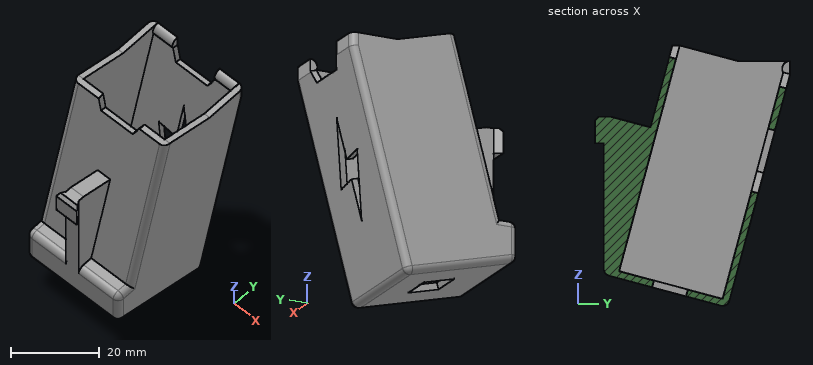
import cadquery as cq
import math

width = 28.1
depth = 27.35
front_height = 53.85
wall = 1.65
lean = 15
rim_z = 55.55
back_y = 14.05
foot_y = -27.95
foot_top_z = 16.95
bead_radius = 1.75

notch_depth = 2.7
notch_flare_height = 3.3
notch_floor_width = 9.7
notch_top_width = 12.85
slot_size = 7.85

rib_width = 3.9
rib_top_z = 43.05
rib_flat = 1.65
hook_reach = 1.95
hook_width = 6.35
hook_height = 6.05
hook_chamfer = 0.9

bolt_center_height = 29.05
bolt_half_height = 12.2
bolt_half_width = 5.5
bolt_tip_offset = 3.05
bolt_notch_offset = 2.35

overcut = 5.9
sin_lean = math.sin(math.radians(lean))
cos_lean = math.cos(math.radians(lean))
tan_lean = sin_lean / cos_lean
front_rim_flat = wall / cos_lean
bead_z = rim_z - bead_radius


def tilted(forward, height):
    """Return (y, z) of a place in the leaning frame of the pocket.

    The origin is the sharp rear bottom corner.
    """
    return (height * sin_lean - forward * cos_lean, height * cos_lean + forward * sin_lean)


def extrude_yz(points, size):
    """Extrude a YZ outline symmetrically about X = 0."""
    return cq.Workplane("YZ").polyline(points).close().extrude(size / 2, both=True)


def tilted_plane(forward, height, normal):
    """Return a plane with X across the part and its normal given as (y, z)."""
    y, z = tilted(forward, height)
    return cq.Plane(origin=(0, y, z), xDir=(1, 0, 0), normal=(0, *normal))


back_plane = tilted_plane(-overcut, 0, (-cos_lean, sin_lean))
floor_plane = tilted_plane(0, 0, (sin_lean, cos_lean))


def make_shell():
    """Leaning body with its foot, rounded outside and open at the top."""
    front_top = tilted(depth, front_height)
    foot_inner_y = front_top[0] - (front_top[1] - foot_top_z) * tan_lean
    back_bend_z = back_y / tan_lean
    rim_corner = (front_top[0] + front_rim_flat, front_top[1])
    bend_y = rim_corner[0] + (front_top[1] - rim_z) / tan_lean
    outline = [
        (0, 0),
        (foot_y, -foot_y * tan_lean),
        (foot_y, foot_top_z),
        (foot_inner_y, foot_top_z),
        front_top,
        rim_corner,
        (bend_y, rim_z),
        (back_y, rim_z),
        (back_y, back_bend_z),
    ]
    body = extrude_yz(outline, width)

    sharp_across = [front_top, rim_corner, (bend_y, rim_z), (back_y, rim_z), (back_y, back_bend_z),
                    (foot_inner_y, foot_top_z)]
    rim_centers = [(front_top[0] + front_rim_flat / 2, front_top[1]),
                   ((rim_corner[0] + bend_y) / 2, (front_top[1] + rim_z) / 2),
                   ((back_y + bend_y) / 2, rim_z)]
    tolerance = 0.005

    def is_rounded(edge):
        center = edge.Center()
        return all(math.hypot(center.y - y, center.z - z) > tolerance
                   for y, z in sharp_across + rim_centers)

    rounded_edges = [edge for edge in body.edges().vals() if is_rounded(edge)]
    return body.newObject(rounded_edges).fillet(wall)


def make_cavity():
    """Straight leaning pocket, open at the top."""
    top = front_height + 2 * overcut
    corners = [
        tilted(wall, wall),
        tilted(depth - wall, wall),
        tilted(depth - wall, top),
        tilted(wall, top),
    ]
    return extrude_yz(corners, width - 2 * wall)


def make_bead_clearance():
    """Wall material above the round of the bead, between the side walls."""
    inner_y = back_y - bead_radius
    middle = bead_radius * math.sqrt(0.5)
    return (
        cq.Workplane("YZ")
        .moveTo(back_y, rim_z)
        .threePointArc((back_y - middle, bead_z + middle), (inner_y, bead_z))
        .lineTo(inner_y, rim_z)
        .close()
        .extrude(width / 2 - wall, both=True)
    )


def make_bead():
    """Rounded lip along the inside of the back rim, curling back into the wall below."""
    middle = bead_radius * math.sqrt(0.5)
    return (
        cq.Workplane("YZ")
        .moveTo(back_y, rim_z)
        .threePointArc((back_y - bead_radius, bead_z), (back_y - middle, bead_z - middle))
        .lineTo(back_y, bead_z)
        .close()
        .extrude(width / 2 - wall, both=True)
    )


def make_notch():
    """Flared notch through both the front and back rims."""
    floor_height = front_height - notch_depth
    flare_top = floor_height + notch_flare_height
    top = front_height + overcut
    half_floor = notch_floor_width / 2
    half_top = notch_top_width / 2
    outline = [
        (-half_floor, floor_height),
        (half_floor, floor_height),
        (half_top, flare_top),
        (half_top, top),
        (-half_top, top),
        (-half_top, flare_top),
    ]
    return cq.Workplane(back_plane).polyline(outline).close().extrude(depth + 2 * overcut)


def make_slot():
    """Square opening in the middle of the floor."""
    return (
        cq.Workplane(floor_plane)
        .center(0, -depth / 2)
        .rect(slot_size, slot_size)
        .extrude(2 * wall)
    )


def make_bolt():
    """Lightning-bolt opening through the back wall."""
    half_outline = [
        (0, bolt_half_height),
        (bolt_half_width, -bolt_tip_offset),
        (0, -bolt_notch_offset),
    ]
    outline = half_outline + [(-x, -height) for x, height in half_outline]
    return (
        cq.Workplane(back_plane)
        .center(0, bolt_center_height)
        .polyline(outline)
        .close()
        .extrude(overcut + 2 * wall)
    )


def make_rib():
    """Upright rib between the foot and the leaning front wall."""
    inside = depth - wall / 2
    flat_end_y = foot_y + rib_flat
    foot_inside_z = foot_top_z - 2 * wall
    foot_inside_height = (foot_inside_z - inside * sin_lean) / cos_lean
    flat_end_height = flat_end_y * sin_lean + rib_top_z * cos_lean
    outline = [
        (foot_y, foot_inside_z),
        (foot_y, rib_top_z),
        (flat_end_y, rib_top_z),
        tilted(inside, flat_end_height),
        tilted(inside, foot_inside_height),
    ]
    return extrude_yz(outline, rib_width)


def make_hook():
    """Flared catch on the front of the rib, chamfered at its upper front edge."""
    outline = [
        (-rib_width / 2, foot_y),
        (rib_width / 2, foot_y),
        (hook_width / 2, foot_y - hook_reach),
        (-hook_width / 2, foot_y - hook_reach),
    ]
    hook = (
        cq.Workplane("XY", origin=(0, 0, rib_top_z - hook_height))
        .polyline(outline)
        .close()
        .extrude(hook_height)
    )
    return hook.faces("<Y").edges(">Z").chamfer(hook_chamfer)


result = (
    make_shell()
    .cut(make_cavity())
    .cut(make_bead_clearance())
    .union(make_bead())
    .cut(make_notch())
    .cut(make_slot())
    .cut(make_bolt())
    .union(make_rib())
    .union(make_hook())
)